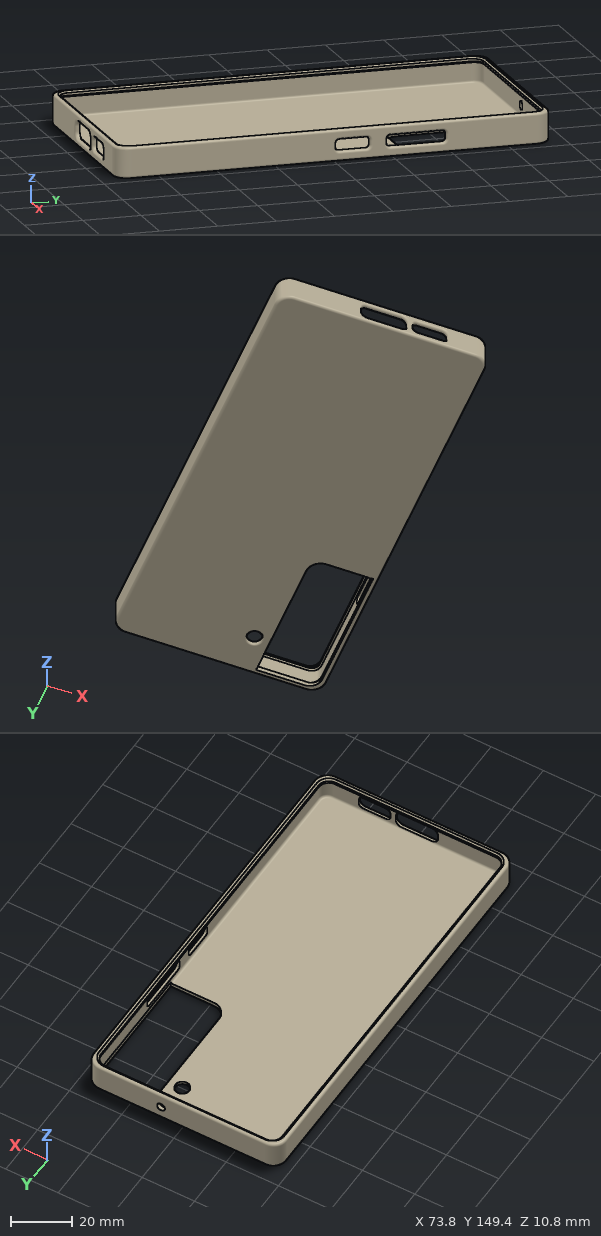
import cadquery as cq
import math

length = 149.4
width = 73.8
height = 10.8
corner_radius = 5.1
outer_fillet = 0.97

wall = 1.6
floor = 1.6
floor_fillet = 0.97

lip_reach = 0.6
lip_face_height = 0.9
lip_bevel_width = 0.7
lip_bevel_height = 0.6
lip_corner_radius = 3.9

window_left = 13.6
window_bottom = 23.9
window_ledge = 0.1
window_inner_radius = 5.1
window_corner_radius = 4.5

flash_diameter = 5.2
flash_x = 8.2
flash_y = 61.0
flash_fillet = 0.6

opening_z = height / 2
cut_depth = 2 * wall
slot_fillet = 0.97
charger_x = -0.1
charger_length = 16.1
charger_height = 6.3
charger_radius = 2.2
speaker_x = 16.0
speaker_length = 12.1
speaker_height = 5.1
speaker_radius = 1.8
microphone_x = 8.0
microphone_diameter = 3.0
button_slot_height = 3.9
button_slot_radius = 1.2
volume_y = 28.2
volume_length = 20.3
power_y = 6.4
power_length = 11.7


def inset_block(inset, bottom, top, radius, taper=0):
    """Round-cornered block whose sides lie a given distance inside the outer walls."""
    outline = cq.Sketch().rect(width - 2 * inset, length - 2 * inset).vertices().fillet(radius)
    return cq.Workplane("XY", origin=(0, 0, bottom)).placeSketch(outline).extrude(top - bottom, taper=taper)


def make_body():
    return inset_block(0, 0, height, corner_radius).faces("<Z or >Z").edges().fillet(outer_fillet)


def make_cavity():
    bevel_bottom = height - lip_bevel_height
    undercut_top = bevel_bottom - lip_face_height
    lip_inset = wall + lip_reach

    main = inset_block(wall, floor, undercut_top, corner_radius - wall)
    main = main.faces("<Z").edges().fillet(floor_fillet)
    main = main.faces(">Z").edges().chamfer(lip_reach)

    throat = inset_block(lip_inset, undercut_top - lip_reach, height, lip_corner_radius)

    bevel_angle = math.degrees(math.atan2(lip_bevel_width, lip_bevel_height))
    bevel = inset_block(lip_inset, bevel_bottom, height, lip_corner_radius, taper=-bevel_angle)
    return main.union(throat).union(bevel)


def make_camera_window():
    right = width / 2 - wall - window_ledge
    top = length / 2 - wall - window_ledge
    window = cq.Workplane("XY").center((window_left + right) / 2, (window_bottom + top) / 2)
    window = window.rect(right - window_left, top - window_bottom).extrude(floor + floor_fillet)
    window = window.edges("|Z and <X and <Y").fillet(window_inner_radius)
    return window.edges("|Z and >X and >Y").fillet(window_corner_radius)


def end_slot(x, slot_length, slot_height, radius):
    """Slot through the -Y end wall."""
    slot = cq.Workplane("XZ", origin=(x, -length / 2, opening_z))
    return slot.rect(slot_length, slot_height).extrude(-cut_depth).edges("|Y").fillet(radius)


def button_slot(y, slot_length):
    """Slot through the +X side wall."""
    slot = cq.Workplane("YZ", origin=(width / 2, y, opening_z))
    slot = slot.rect(slot_length, button_slot_height).extrude(-cut_depth)
    return slot.edges("|X").fillet(button_slot_radius)


def round_openings(body, face, radius):
    """Fillet the rims of all openings in one outer face."""
    rims = body.faces(face).val().innerWires()
    edges = [edge for rim in rims for edge in rim.Edges()]
    return body.newObject(edges).fillet(radius)


result = make_body().cut(make_cavity())

flash_hole = cq.Workplane("XY").center(flash_x, flash_y).circle(flash_diameter / 2).extrude(floor)
result = round_openings(result.cut(flash_hole), "<Z", flash_fillet)
result = result.cut(make_camera_window())

result = result.cut(end_slot(charger_x, charger_length, charger_height, charger_radius))
result = result.cut(end_slot(speaker_x, speaker_length, speaker_height, speaker_radius))
result = round_openings(result, "<Y", slot_fillet)

result = result.cut(button_slot(volume_y, volume_length))
result = result.cut(button_slot(power_y, power_length))
result = round_openings(result, ">X", slot_fillet)

microphone = cq.Workplane("XZ", origin=(microphone_x, length / 2, opening_z))
result = result.cut(microphone.circle(microphone_diameter / 2).extrude(cut_depth))